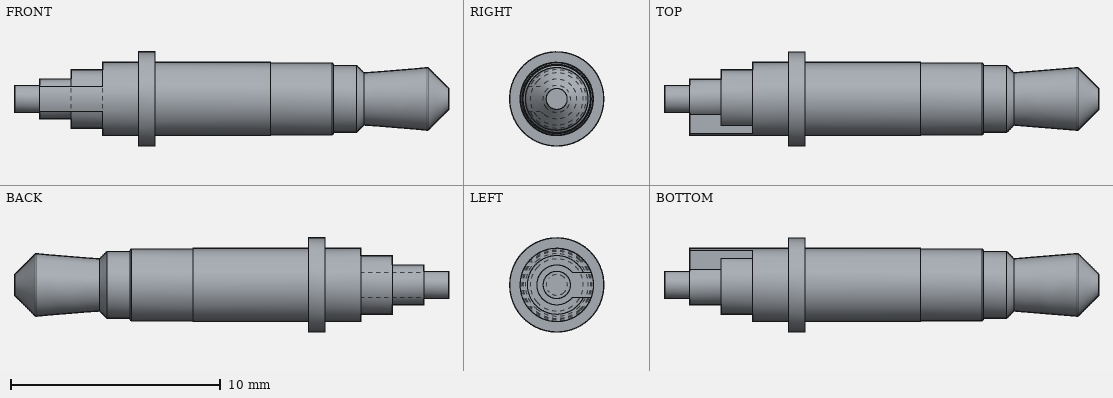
import cadquery as cq


PIN_END, PIN_RADIUS = 1.2, 0.65
INNER_STEP_END, INNER_STEP_RADIUS = 2.7, 0.95
OUTER_STEP_END, OUTER_STEP_RADIUS = 4.2, 1.4

TAB_WIDTH = 1.2

BARREL_RADIUS = 1.75
BARREL_END = 12.2
FLANGE_START = 5.9
FLANGE_LENGTH = 0.8
FLANGE_RADIUS = 2.25
FRONT_RADIUS = 1.72
FRONT_END = 15.2
FRONT_CHAMFER = 0.07

COLLAR_RADIUS = 1.6
COLLAR_END = 16.3
NECK_RADIUS = 1.25
NECK_START = COLLAR_END + COLLAR_RADIUS - NECK_RADIUS

TOTAL_LENGTH = 20.7
TIP_RADIUS = 1.5
TIP_CONE_LENGTH = 1.0
TIP_CREST = TOTAL_LENGTH - TIP_CONE_LENGTH
TIP_CREST_FILLET = 0.1
TIP_FLAT_RADIUS = TIP_RADIUS - TIP_CONE_LENGTH


def cylinder(start, end, radius):
    """Solid cylinder on the X axis between two X positions."""
    return cq.Workplane("YZ", origin=(start, 0, 0)).circle(radius).extrude(end - start)


def crest_selector():
    """Selects the circular edge at the widest place on the tip."""
    half_depth = TIP_CREST_FILLET / 2
    return cq.selectors.BoxSelector(
        (TIP_CREST - half_depth, -FLANGE_RADIUS, -FLANGE_RADIUS),
        (TIP_CREST + half_depth, FLANGE_RADIUS, FLANGE_RADIUS),
        boundingbox=True,
    )


def make_body():
    """Turned body: half outline in XY revolved about the X axis."""
    outline = [
        (0, 0),
        (0, PIN_RADIUS),
        (PIN_END, PIN_RADIUS),
        (PIN_END, INNER_STEP_RADIUS),
        (INNER_STEP_END, INNER_STEP_RADIUS),
        (INNER_STEP_END, OUTER_STEP_RADIUS),
        (OUTER_STEP_END, OUTER_STEP_RADIUS),
        (OUTER_STEP_END, BARREL_RADIUS),
        (BARREL_END, BARREL_RADIUS),
        (BARREL_END, FRONT_RADIUS),
        (FRONT_END - FRONT_CHAMFER, FRONT_RADIUS),
        (FRONT_END, FRONT_RADIUS - FRONT_CHAMFER),
        (FRONT_END, COLLAR_RADIUS),
        (COLLAR_END, COLLAR_RADIUS),
        (NECK_START, NECK_RADIUS),
        (TIP_CREST, TIP_RADIUS),
        (TOTAL_LENGTH, TIP_FLAT_RADIUS),
        (TOTAL_LENGTH, 0),
    ]
    body = cq.Workplane("XY").polyline(outline).close().revolve(360, (0, 0, 0), (1, 0, 0))
    return body.edges(crest_selector()).fillet(TIP_CREST_FILLET)


def make_tab():
    """Radial bar on the -Y side, rounded on its outer face to the barrel radius."""
    length = OUTER_STEP_END - PIN_END
    bar = cq.Workplane("XY").box(
        length, BARREL_RADIUS, TAB_WIDTH, centered=(False, False, True)
    ).translate((PIN_END, -BARREL_RADIUS, 0))
    return bar.intersect(cylinder(PIN_END, OUTER_STEP_END, BARREL_RADIUS))


flange = cylinder(FLANGE_START, FLANGE_START + FLANGE_LENGTH, FLANGE_RADIUS)
result = make_body().union(flange).union(make_tab())